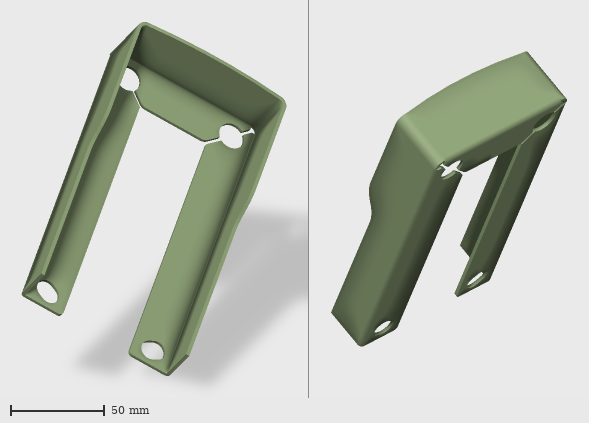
import cadquery as cq
import math

width = 92.7
length = 173.5
leg_depth = 35.6
crown_rise = 3.0
sheet = 2.0

web_bend_radius = 5.6
flange_bend_radius = 2.6
flange_bend_inner_radius = flange_bend_radius - sheet
corner_base = 1.0

tip_depth = 26.1
step_start = 67.7
step_end = 81.3
step_radius = 18.6

flange_width = 25.5
flange_corner_radius = 2.6
web_flange_corner_radius = 5.6
mitre_gap = 2.0
relief_offset = 14.0
relief_radius = 7.5

slot_from_side = 13.5
slot_from_tip = 9.5
slot_radius = 5.6
slot_centre_distance = 3.0
slot_angle = 30

roll_angle = 33.2
pitch_angle = 20.0

half_width = width / 2


def make_tray():
    """Thin tray with two side walls, a web and a full floor, open at the leg tips."""
    depth = leg_depth + crown_rise
    outer = (
        cq.Workplane("XY")
        .rect(width, 2 * length)
        .extrude(depth)
        .edges("|Z")
        .fillet(web_bend_radius)
        .faces("<Z")
        .edges()
        .fillet(flange_bend_radius)
    )
    inner = (
        cq.Workplane("XY", origin=(0, 0, sheet))
        .rect(width - 2 * sheet, 2 * (length - sheet))
        .extrude(depth)
        .edges("|Z")
        .fillet(web_bend_radius - sheet)
        .faces("<Z")
        .edges()
        .fillet(flange_bend_inner_radius)
    )
    front_half = cq.Workplane("XY").rect(width, length).extrude(depth).translate((0, length / 2, 0))
    return outer.cut(inner).intersect(front_half)


def make_leg_envelope():
    """Side outline of the legs, with the smoothly stepped open edge."""
    outline = [
        (0, 0),
        (length, 0),
        (length, leg_depth + crown_rise),
        (length - web_bend_radius, leg_depth + crown_rise),
        (length - web_bend_radius, leg_depth),
        (length - step_start, leg_depth),
        (length - step_end, tip_depth),
        (0, tip_depth),
    ]
    envelope = cq.Workplane("YZ").polyline(outline).close().extrude(half_width, both=True)
    for distance, depth in ((step_start, leg_depth), (step_end, tip_depth)):
        corner = cq.selectors.NearestToPointSelector((0, length - distance, depth))
        envelope = envelope.edges(corner).fillet(step_radius)
    return envelope


def make_crown_envelope():
    """Outline across the web, with its open edge crowned between the bends."""
    crown_half = half_width - web_bend_radius
    return (
        cq.Workplane("XZ")
        .moveTo(-half_width, 0)
        .lineTo(half_width, 0)
        .lineTo(half_width, leg_depth)
        .lineTo(crown_half, leg_depth)
        .threePointArc((0, leg_depth + crown_rise), (-crown_half, leg_depth))
        .lineTo(-half_width, leg_depth)
        .close()
        .extrude(-length)
    )


def make_floor_opening():
    """Opening that leaves one flange along each leg and one along the web."""
    opening_width = width - 2 * flange_width
    opening_length = length - flange_width
    return cq.Workplane("XY").rect(opening_width, 2 * opening_length).extrude(sheet)


def make_mitre(side):
    """Diagonal gap, round relief and bend clearance separating a leg flange from the web flange."""
    gap_length = 3 * flange_width
    corner = (side * half_width, length)
    relief = (side * (half_width - relief_offset), length - relief_offset)
    gap = (
        cq.Workplane("XY")
        .rect(gap_length, mitre_gap)
        .extrude(flange_bend_radius)
        .rotate((0, 0, 0), (0, 0, 1), side * 45)
        .translate((*corner, 0))
    )
    round_relief = cq.Workplane("XY").center(*relief).circle(relief_radius).extrude(sheet)
    bend_clearance = (
        cq.Workplane("XY")
        .center(*corner)
        .rect(2 * web_bend_radius, 2 * web_bend_radius)
        .extrude(flange_bend_radius)
    )
    return gap.union(round_relief).union(bend_clearance)


def make_corner_bend(side):
    """Lower end of a web bend, kept square below the height where the flange bends begin."""
    bend_axis = (side * (half_width - web_bend_radius), length - web_bend_radius)
    quadrant = (side * (half_width - web_bend_radius / 2), length - web_bend_radius / 2)
    height = flange_bend_radius - corner_base
    ring = (
        cq.Workplane("XY")
        .center(*bend_axis)
        .circle(web_bend_radius)
        .circle(web_bend_radius - sheet)
        .extrude(height)
    )
    quarter = cq.Workplane("XY").center(*quadrant).rect(web_bend_radius, web_bend_radius).extrude(height)
    return ring.intersect(quarter).translate((0, 0, corner_base))


def make_slot(side):
    """Slanted mounting slot at the tip of a leg flange."""
    return (
        cq.Workplane("XY")
        .slot2D(slot_centre_distance + 2 * slot_radius, 2 * slot_radius)
        .extrude(sheet)
        .rotate((0, 0, 0), (0, 0, 1), side * slot_angle)
        .translate((side * (half_width - slot_from_side), slot_from_tip, 0))
    )


bracket = make_tray().intersect(make_leg_envelope()).intersect(make_crown_envelope())
bracket = bracket.cut(make_floor_opening())
for side in (-1, 1):
    bracket = bracket.cut(make_mitre(side)).cut(make_slot(side))
    tip_corner = (side * (half_width - flange_width), 0, sheet / 2)
    corner_edge = cq.selectors.NearestToPointSelector(tip_corner)
    bracket = bracket.edges("|Z").edges(corner_edge).fillet(flange_corner_radius)
    web_flange_end = (
        side * (half_width - flange_width - mitre_gap / math.sqrt(2)),
        length - flange_width,
        sheet / 2,
    )
    corner_edge = cq.selectors.NearestToPointSelector(web_flange_end)
    bracket = bracket.edges("|Z").edges(corner_edge).fillet(web_flange_corner_radius)
    bracket = bracket.union(make_corner_bend(side))

result = bracket.rotate((0, 0, 0), (0, 1, 0), roll_angle).rotate((0, 0, 0), (1, 0, 0), pitch_angle)